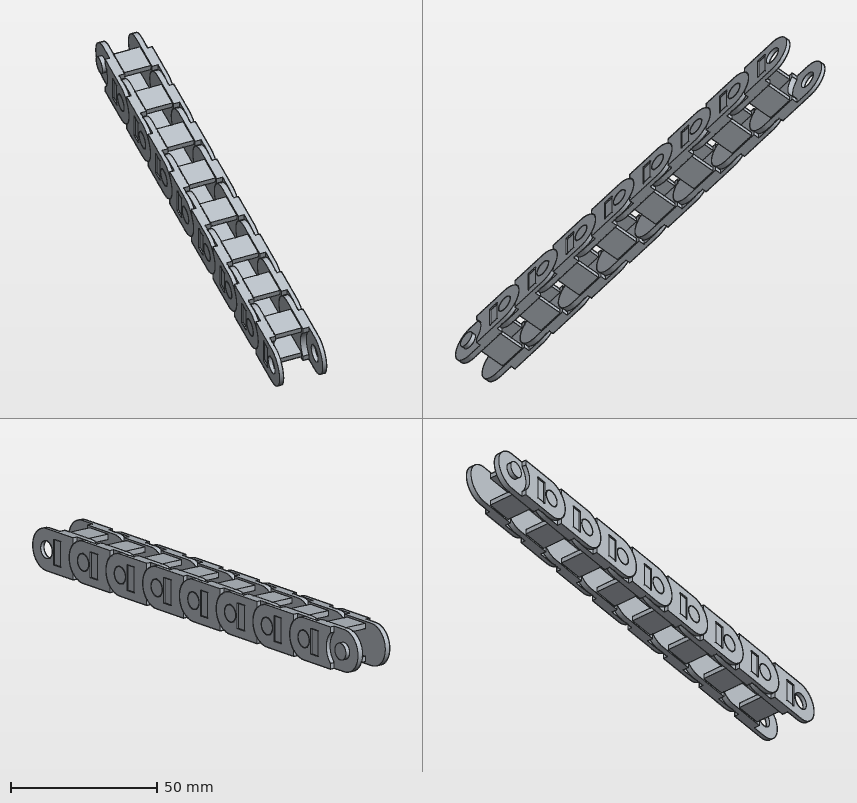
import cadquery as cq


chain_length = 175.0
chain_width = 17.3
link_height = 15.0
link_count = 8
end_radius = link_height / 2
pitch = (chain_length - link_height) / link_count

running_gap = 0.15
outer_tongue_thickness = 1.5
channel_width = 10.0
outer_face = chain_width / 2
inner_face = channel_width / 2
outer_tongue_face = outer_face - outer_tongue_thickness
inner_tongue_face = outer_tongue_face - running_gap

shoulder_offset = 5.5
shoulder_radius = end_radius + running_gap

pin_radius = 3.0
hole_radius = pin_radius + running_gap

recess_width = 3.8
recess_height = 9.1
recess_depth = 0.5
recess_center_x = pitch - 5.8

bar_length = 10.0
bar_thickness = 2.0
bar_start_x = 3.3
bar_inset = 0.7


def slab(sketch, y_from, y_to):
    """Extrude an XZ sketch from y_from to a larger y_to."""
    return sketch.extrude(-(y_to - y_from)).translate((0, y_from, 0))


def cylinder(x, radius, y_from, y_to):
    """Cylinder along Y with its axis at the given X."""
    return slab(cq.Workplane("XZ").center(x, 0).circle(radius), y_from, y_to)


def block(x_from, x_to, y_from, y_to):
    """Full-height block of the side wall."""
    length = x_to - x_from
    sketch = cq.Workplane("XZ").center(x_from + length / 2, 0).rect(length, link_height)
    return slab(sketch, y_from, y_to)


def inner_layer():
    """Rounded tongue around the pin, ending in a hollowed shoulder near the hole."""
    layer = block(0, pitch - shoulder_offset, inner_face, inner_tongue_face)
    layer = layer.union(cylinder(0, end_radius, inner_face, inner_tongue_face))
    return layer.cut(cylinder(pitch, shoulder_radius, inner_face, inner_tongue_face))


def middle_layer():
    """Thin layer between the two tongues, hollowed at both ends."""
    layer = block(shoulder_offset, pitch - shoulder_offset, inner_tongue_face, outer_tongue_face)
    for x in (0, pitch):
        layer = layer.cut(cylinder(x, shoulder_radius, inner_tongue_face, outer_tongue_face))
    return layer


def outer_layer():
    """Rounded tongue around the hole, starting at a hollowed shoulder near the pin."""
    layer = block(shoulder_offset, pitch, outer_tongue_face, outer_face)
    layer = layer.union(cylinder(pitch, end_radius, outer_tongue_face, outer_face))
    layer = layer.cut(cylinder(0, shoulder_radius, outer_tongue_face, outer_face))
    return layer.cut(cylinder(pitch, hole_radius, outer_tongue_face, outer_face))


def wall_recess():
    """Volume removed from the outer face of the wall."""
    sketch = cq.Workplane("XZ").center(recess_center_x, 0).rect(recess_width, recess_height)
    return slab(sketch, outer_face - recess_depth, outer_face)


def side_wall():
    """The +Y wall of a link, with its pin flush with the outer face."""
    wall = inner_layer().union(middle_layer()).union(outer_layer())
    wall = wall.union(cylinder(0, pin_radius, inner_tongue_face, outer_face))
    return wall.cut(wall_recess())


def crossbar(direction):
    """Flat bar across the channel: direction 1 is the upper bar, -1 the lower one."""
    bar_center_z = direction * (end_radius - bar_inset - bar_thickness / 2)
    bar_center_x = bar_start_x + bar_length / 2
    return cq.Workplane("XY").box(bar_length, channel_width, bar_thickness).translate(
        (bar_center_x, 0, bar_center_z)
    )


def chain_link():
    """One link: two mirrored walls joined by two crossbars."""
    wall = side_wall()
    return wall.union(wall.mirror("XZ")).union(crossbar(1)).union(crossbar(-1))


link = chain_link().solids()
links = []
for index in range(link_count):
    links.append(link.translate((index * pitch, 0, 0)).val())

result = cq.Compound.makeCompound(links)